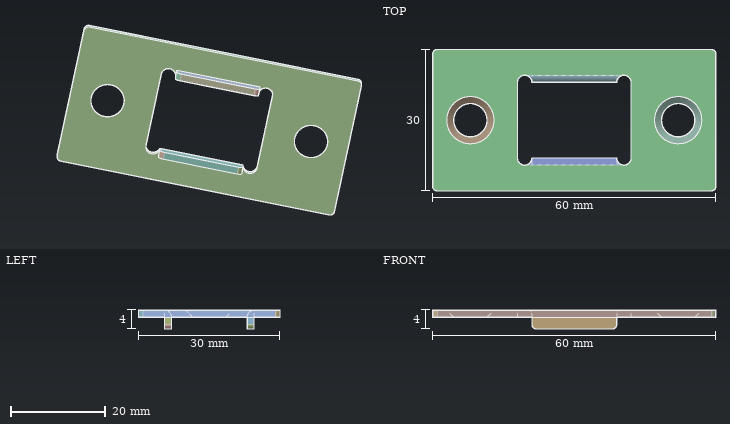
import cadquery as cq

plate_length = 60.0
plate_width = 30.0
thickness = 1.5
plate_corner_radius = 1.0

screw_spacing = 44.0
screw_hole_diameter = 7.0
countersink_diameter = screw_hole_diameter + 2 * thickness

window_length = 24.0
window_width = 19.0
tab_length = 18.0
overall_height = 4.0
tab_corner_radius = 1.0
bend_radius = thickness

relief_radius = (window_length - tab_length) / 4
relief_x = tab_length / 2 + relief_radius
relief_y = window_width / 2 - relief_radius


def make_plate():
    """Flat plate with rounded corners and the window cut through it."""
    plate = (
        cq.Workplane("XY")
        .box(plate_length, plate_width, thickness, centered=(True, True, False))
        .edges("|Z")
        .fillet(plate_corner_radius)
    )
    window = (
        cq.Workplane("XY")
        .box(window_length, window_width, thickness, centered=(True, True, False))
        .edges("|Z")
        .fillet(relief_radius)
    )
    return plate.cut(window).translate((0, 0, -thickness))


def make_screw_hole(x):
    """Conical cutter for one countersunk hole."""
    return (
        cq.Workplane("XY", origin=(x, 0, 0))
        .circle(countersink_diameter / 2)
        .workplane(offset=-thickness)
        .circle(screw_hole_diameter / 2)
        .loft(ruled=True)
    )


def make_bend():
    """Quarter-round bend on the +Y window edge, its ends hollowed by the reliefs."""
    bend_length = 2 * relief_x
    outer_y = window_width / 2
    rod = (
        cq.Workplane("YZ", origin=(-bend_length / 2, 0, 0))
        .moveTo(outer_y, -thickness)
        .lineTo(outer_y, bend_radius - thickness)
        .radiusArc((outer_y - bend_radius, -thickness), -bend_radius)
        .close()
        .extrude(bend_length)
    )
    reliefs = (
        cq.Workplane("XY")
        .pushPoints([(-relief_x, relief_y), (relief_x, relief_y)])
        .circle(relief_radius)
        .extrude(-thickness)
    )
    return rod.cut(reliefs)


def make_tab():
    """Straight leg hanging below the bend on the +Y window edge."""
    tab_height = overall_height - thickness
    return (
        cq.Workplane("XY", origin=(0, (window_width - thickness) / 2, -thickness - tab_height / 2))
        .box(tab_length, thickness, tab_height)
        .edges("|Y and <Z")
        .fillet(tab_corner_radius)
    )


result = make_plate()
for x in (-screw_spacing / 2, screw_spacing / 2):
    result = result.cut(make_screw_hole(x))

bent_edge = make_bend().union(make_tab())
result = result.union(bent_edge).union(bent_edge.mirror("XZ"))